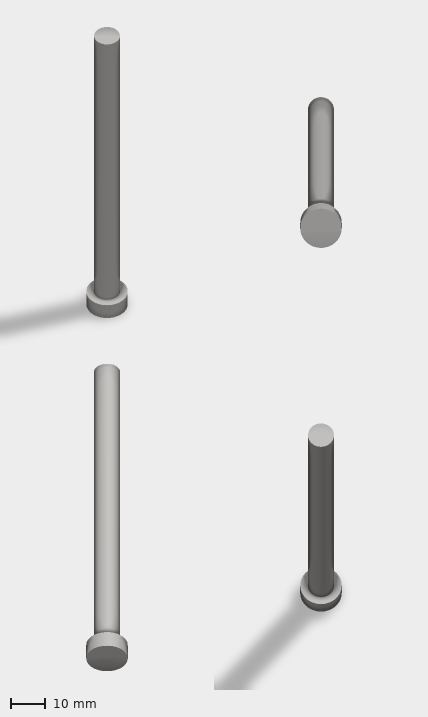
import cadquery as cq

total_length = 105.0
head_diameter = 12.0
head_height = 5.0
shank_diameter = 7.5
neck_fillet = 0.2

head_radius = head_diameter / 2
shank_radius = shank_diameter / 2


def make_pin():
    """Headed pin standing on its head, with the axis along Z."""
    fillet_middle = neck_fillet * (1 - 0.5 ** 0.5)
    half_profile = (
        cq.Workplane("XZ")
        .moveTo(0, 0)
        .lineTo(head_radius, 0)
        .lineTo(head_radius, head_height)
        .lineTo(shank_radius + neck_fillet, head_height)
        .threePointArc(
            (shank_radius + fillet_middle, head_height + fillet_middle),
            (shank_radius, head_height + neck_fillet),
        )
        .lineTo(shank_radius, total_length)
        .lineTo(0, total_length)
        .close()
    )
    return half_profile.revolve(360, (0, 0, 0), (0, 1, 0))


result = make_pin()